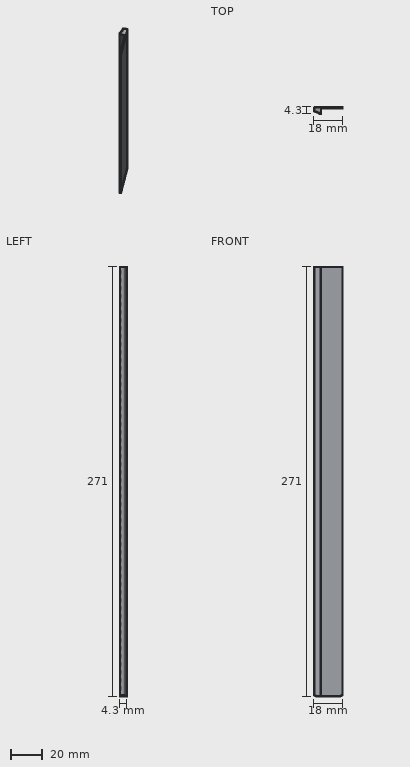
import cadquery as cq

width = 18.0
depth = 4.3
length = 271.0

plate_thickness = 0.8
lip_width = 4.3
lip_side_depth = 2.7
left_edge_radius = 0.5
lip_tip_width = 0.3
slope_sag = 0.15

corner_cut_width = 1.5
corner_cut_height = 0.8


def make_profile():
    """Closed outline in the XY plane, with the back of the plate on Y = 0."""
    tip_left = lip_width - lip_tip_width
    slope_middle_x = tip_left / 2 + slope_sag
    slope_middle_y = -(lip_side_depth + depth) / 2 + slope_sag
    return (
        cq.Workplane("XY")
        .moveTo(0, 0)
        .lineTo(width, 0)
        .lineTo(width, -plate_thickness)
        .lineTo(lip_width, -plate_thickness)
        .lineTo(lip_width, -depth)
        .lineTo(tip_left, -depth)
        .threePointArc((slope_middle_x, slope_middle_y), (0, -lip_side_depth))
        .close()
    )


def make_corner_cut(edge_x, inward):
    """Triangular cutter through the full depth; inward is +1 or -1 along X."""
    return (
        cq.Workplane("XZ")
        .moveTo(edge_x, 0)
        .lineTo(edge_x + inward * corner_cut_width, 0)
        .lineTo(edge_x, corner_cut_height)
        .close()
        .extrude(depth)
    )


result = make_profile().extrude(length).edges("|Z and <X").fillet(left_edge_radius)
for edge_x, inward in ((0, 1), (width, -1)):
    result = result.cut(make_corner_cut(edge_x, inward))